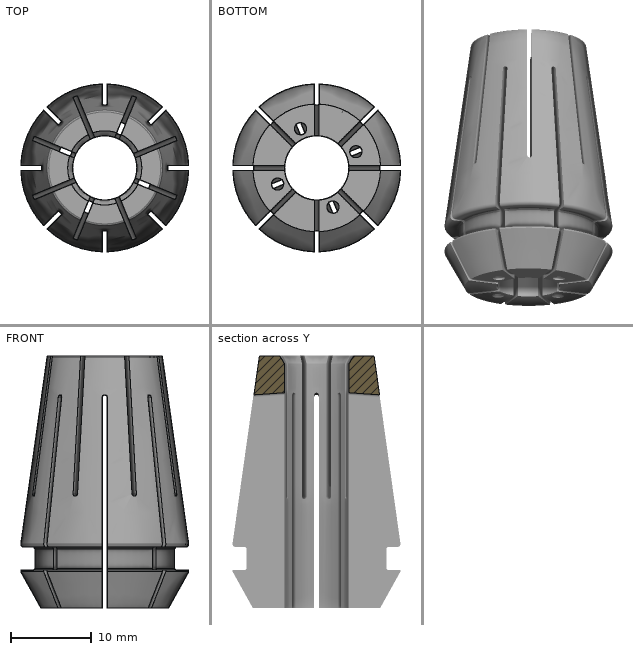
import cadquery as cq
import math

length = 31.5
rim_radius = 10.5
cone_half_angle = 8.0

nose_radius = 7.97
nose_height = 4.55
rim_land = 0.2
groove_radius = 8.73
groove_width = 2.87
groove_chamfer = 0.2
groove_bottom = nose_height + rim_land
groove_top = groove_bottom + groove_width

cone_lower_round = 0.4
cone_base = groove_top + cone_lower_round
top_round = 0.22

bore_diameter = 8.0
mouth_radius = 4.63
mouth_depth = 1.0

slot_width = 0.6
slots_per_end = 8
slot_pitch = 360.0 / slots_per_end
lower_slot_end = 26.6
upper_slot_end = 14.0
slot_end_tilt = 4.0
slot_overrun = 1.58
slot_reach = 1.5 * rim_radius

hole_diameter = 1.5
hole_circle_radius = 5.3
hole_depth = 15.12
hole_count = 4
first_hole_angle = 1.5 * slot_pitch


def cone_radius(height):
    """Radius of the long cone at a height, before its edges are rounded."""
    return rim_radius - (height - cone_base) * math.tan(math.radians(cone_half_angle))


def make_body():
    """Revolve the nose, groove and long cone, including the rounded edges."""
    round_center_radius = rim_radius - cone_lower_round
    round_offset = cone_lower_round * math.sin(math.radians(45))
    body = (
        cq.Workplane("XZ")
        .lineTo(nose_radius, 0)
        .lineTo(rim_radius, nose_height)
        .lineTo(rim_radius, groove_bottom)
        .lineTo(groove_radius + groove_chamfer, groove_bottom)
        .lineTo(groove_radius, groove_bottom + groove_chamfer)
        .lineTo(groove_radius, groove_top - groove_chamfer)
        .lineTo(groove_radius + groove_chamfer, groove_top)
        .lineTo(round_center_radius, groove_top)
        .threePointArc(
            (round_center_radius + round_offset, cone_base - round_offset),
            (rim_radius, cone_base),
        )
        .lineTo(cone_radius(length), length)
        .lineTo(0, length)
        .close()
        .revolve(360, (0, 0, 0), (0, 1, 0))
    )
    return body.faces(">Z").edges().fillet(top_round)


def make_bore():
    """Straight through bore with a conical mouth at the top."""
    bore_radius = bore_diameter / 2
    return (
        cq.Workplane("XZ")
        .moveTo(0, 0)
        .lineTo(bore_radius, 0)
        .lineTo(bore_radius, length - mouth_depth)
        .lineTo(mouth_radius, length)
        .lineTo(0, length)
        .close()
        .revolve(360, (0, 0, 0), (0, 1, 0))
    )


def make_slot(angle, closed_end, open_end):
    """Radial slot from the bore outward, open at one end face and round at the other.

    The closed end is deeper at the bore than at the cone, by the tilt angle.
    """
    half_width = slot_width / 2
    toward_open = math.copysign(1, open_end - closed_end)
    arc_base = closed_end + toward_open * half_width
    outlet = open_end + toward_open * slot_overrun
    pivot_radius = cone_radius(closed_end)
    tilt = -toward_open * slot_end_tilt
    return (
        cq.Workplane("YZ")
        .moveTo(-half_width, outlet)
        .lineTo(-half_width, arc_base)
        .threePointArc((0, closed_end), (half_width, arc_base))
        .lineTo(half_width, outlet)
        .close()
        .extrude(slot_reach)
        .rotate((pivot_radius, 0, closed_end), (pivot_radius, 1, closed_end), tilt)
        .rotate((0, 0, 0), (0, 0, 1), angle)
    )


def make_nose_holes():
    """Blind holes parallel to the axis, drilled from the nose face."""
    return (
        cq.Workplane("XY")
        .polarArray(hole_circle_radius, first_hole_angle, 360, hole_count)
        .circle(hole_diameter / 2)
        .extrude(hole_depth)
    )


result = make_body().cut(make_bore()).cut(make_nose_holes())
for index in range(slots_per_end):
    lower_angle = index * slot_pitch
    upper_angle = lower_angle + slot_pitch / 2
    result = result.cut(make_slot(lower_angle, lower_slot_end, 0))
    result = result.cut(make_slot(upper_angle, upper_slot_end, length))